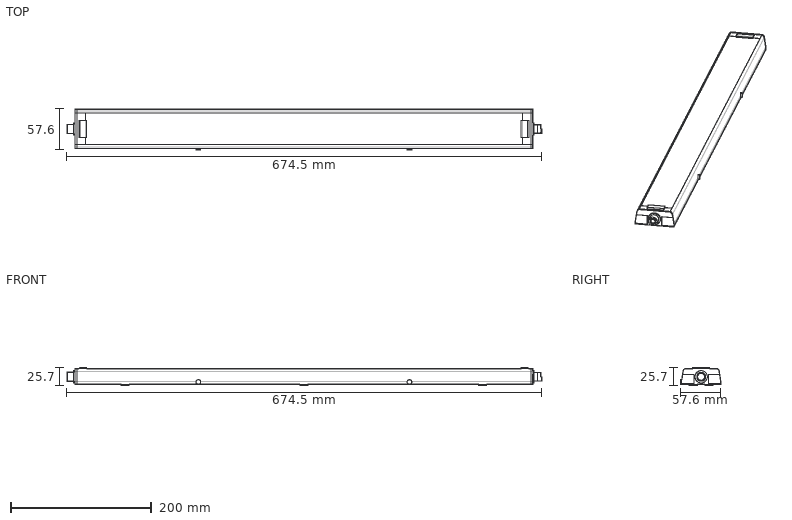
import cadquery as cq

body_x = -1.0
body_y = 0.8
body_width = 56.0
body_bottom = -11.35
body_top = 11.35
flange_top = -7.0
shoulder_z = 7.4
shoulder_half_width = 25.8
top_half_width = 22.4
bar_length = 645.0

cap_thickness = 2.8
panel_depth = 0.4
panel_inner_y = 10.5
panel_bottom = -10.2
panel_top = 3.0

window_length = 621.2
window_depth = 0.3
stop_length = 9.1
stop_overhang = 2.0
stop_overhang_drop = 0.25
stop_width = 24.4
stop_height = 1.5
stop_slope = 1.8

foot_diameter = 11.5
foot_height = 1.5
foot_pitch_x = 254.0
foot_half_pitch_y = 11.2

screw_pitch_x = 150.0
screw_z = -7.8
screw_head_diameter = 6.6
screw_shank_diameter = 4.0
screw_shank_length = 6.0
screw_seat_depth = 2.2
screw_tip_y = -28.8

connector_z = -0.4
spigot_diameter = 10.0
collar_diameter = 17.5
collar_thickness = 2.0
left_barrel_diameter = 13.2
right_barrel_diameter = 12.5
left_tip_x = -337.275
right_tip_x = 337.275
left_bore_diameter = 9.0
right_bore_diameter = 10.0
left_bore_depth = 2.0
right_bore_depth = 6.0
left_insert_diameter = 6.0
right_lip_length = 1.5

half_width = body_width / 2
half_bar = bar_length / 2
cap_outer = half_bar + cap_thickness


def body_profile(x_start, length):
    """Tapered cross-section of the lamp, extruded along +X from x_start."""
    profile = (
        cq.Workplane("YZ", origin=(x_start, body_y, 0))
        .moveTo(0, body_bottom)
        .lineTo(half_width, body_bottom)
        .lineTo(half_width, flange_top)
        .lineTo(shoulder_half_width, shoulder_z)
        .tangentArcPoint((top_half_width, body_top), relative=False)
        .lineTo(0, body_top)
        .mirrorY()
    )
    return profile.extrude(length)


def x_cylinder(x_from, x_to, diameter):
    """Round bar on the connector axis between two X positions."""
    plane = cq.Workplane("YZ", origin=(x_from, body_y, connector_z))
    return plane.circle(diameter / 2).extrude(x_to - x_from)


def end_stop(side):
    """Raised stop at one end of the window, sloped on its outer face."""
    inner = window_length / 2
    outer = inner + stop_length
    outline = [
        (body_x + side * (inner - stop_overhang), body_top - window_depth),
        (body_x + side * inner, body_top - window_depth),
        (body_x + side * inner, body_top),
        (body_x + side * outer, body_top),
        (body_x + side * (outer - stop_slope), body_top + stop_height),
        (body_x + side * inner, body_top + stop_height),
        (body_x + side * (inner - stop_overhang), body_top + stop_height - stop_overhang_drop),
    ]
    plane = cq.Workplane("XZ", origin=(0, body_y, 0))
    return plane.polyline(outline).close().extrude(stop_width / 2, both=True)


def make_screw(side):
    """Side screw with a plain round head let into the side wall."""
    x = body_x + side * screw_pitch_x
    wall_y = body_y - half_width
    head_length = wall_y - screw_tip_y + screw_seat_depth
    head_plane = cq.Workplane("XZ", origin=(x, screw_tip_y, screw_z))
    head = head_plane.circle(screw_head_diameter / 2).extrude(-head_length)
    shank_plane = cq.Workplane("XZ", origin=(x, wall_y + screw_seat_depth, screw_z))
    shank = shank_plane.circle(screw_shank_diameter / 2).extrude(-screw_shank_length)
    return head.union(shank)


def make_housing(fitted_screws):
    """Bar with window recess, end stops, feet and screw holes."""
    housing = body_profile(body_x - half_bar, bar_length)
    window = cq.Workplane("XY", origin=(body_x, body_y, body_top - window_depth))
    housing = housing.cut(window.rect(window_length, 2 * top_half_width).extrude(window_depth))
    for side in (-1, 1):
        housing = housing.union(end_stop(side))
    foot_centres = [(i * foot_pitch_x, j * foot_half_pitch_y) for i in (-1, 0, 1) for j in (-1, 1)]
    underside = cq.Workplane("XY", origin=(body_x, body_y, body_bottom))
    feet = underside.pushPoints(foot_centres).circle(foot_diameter / 2).extrude(-foot_height)
    housing = housing.union(feet)
    for screw in fitted_screws:
        housing = housing.cut(screw)
    return housing


def make_cap(side):
    """End plate with two panels sunk out to its sides and the connector hole."""
    x_inner = body_x + side * half_bar
    x_outer = body_x + side * cap_outer
    cap = body_profile(min(x_inner, x_outer), cap_thickness)
    panel_width = half_width - panel_inner_y
    panel_height = panel_top - panel_bottom
    panel_y = (half_width + panel_inner_y) / 2
    panel_z = (panel_top + panel_bottom) / 2
    face = cq.Workplane("YZ", origin=(x_outer, body_y, panel_z))
    panels = face.pushPoints([(-panel_y, 0), (panel_y, 0)]).rect(panel_width, panel_height)
    cap = cap.cut(panels.extrude(-side * panel_depth))
    return cap.cut(x_cylinder(x_inner, x_outer, spigot_diameter))


def make_left_connector():
    """Socket connector: spigot in the cap, collar, and a barrel with a ring groove around its insert."""
    face_x = body_x - cap_outer
    connector = x_cylinder(face_x, body_x - half_bar, spigot_diameter)
    connector = connector.union(x_cylinder(face_x - collar_thickness, face_x, collar_diameter))
    connector = connector.union(x_cylinder(left_tip_x, face_x, left_barrel_diameter))
    bore_end = left_tip_x + left_bore_depth
    bore = x_cylinder(left_tip_x, bore_end, left_bore_diameter)
    insert = x_cylinder(left_tip_x, bore_end, left_insert_diameter)
    return connector.cut(bore.cut(insert))


def make_right_connector():
    """Plug connector: spigot in the cap, collar, and a hollow barrel with a lower lip."""
    face_x = body_x + cap_outer
    barrel_end = right_tip_x - right_lip_length
    connector = x_cylinder(body_x + half_bar, face_x, spigot_diameter)
    connector = connector.union(x_cylinder(face_x, face_x + collar_thickness, collar_diameter))
    connector = connector.union(x_cylinder(face_x, barrel_end, right_barrel_diameter))
    barrel_radius = right_barrel_diameter / 2
    lip_corner = (barrel_end, body_y - barrel_radius, connector_z - barrel_radius)
    lip_box = cq.Workplane("XY", origin=lip_corner).box(
        right_lip_length, barrel_radius, barrel_radius, centered=False
    )
    lip = x_cylinder(barrel_end, right_tip_x, right_barrel_diameter).intersect(lip_box)
    connector = connector.union(lip)
    return connector.cut(x_cylinder(right_tip_x - right_bore_depth, right_tip_x, right_bore_diameter))


screws = [make_screw(side) for side in (-1, 1)]
housing = make_housing(screws)
caps = [make_cap(side) for side in (-1, 1)]
connectors = [make_left_connector(), make_right_connector()]

bodies = [housing, *caps, *connectors, *screws]
result = cq.Compound.makeCompound([body.val() for body in bodies])